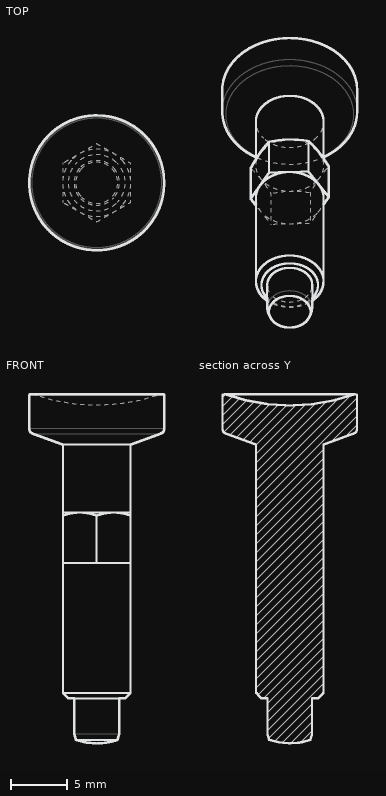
import cadquery as cq
import math

total_height = 31.0
pin_length = 4.0
body_chamfer_height = 0.5
hex_bottom = 16.0
hex_top = 20.5
knob_bottom = 26.5

knob_diameter = 12.0
shaft_diameter = 6.0
pin_diameter = 4.0

tip_dome_height = 0.3
tip_taper_height = 0.53
tip_taper_inset = 0.15

knob_cone_angle = 20.0
knob_lower_fillet = 0.5
knob_rim_fillet = 0.12
knob_rim_land = 0.12
dish_depth = 1.0

hex_sides = 6
hex_bevel_angle = 30.0

knob_radius = knob_diameter / 2
shaft_radius = shaft_diameter / 2
pin_radius = pin_diameter / 2


def rise(run, angle):
    """Height gained over a horizontal run at an angle in degrees."""
    return run * math.tan(math.radians(angle))


def make_shaft():
    """Cylindrical body and neck with a chamfered lower end."""
    shaft = (
        cq.Workplane("XY")
        .workplane(offset=pin_length)
        .circle(shaft_radius)
        .extrude(knob_bottom - pin_length)
    )
    return shaft.faces("<Z").chamfer(body_chamfer_height)


def make_pin():
    """Locking pin revolved from its half profile."""
    tip_radius = pin_radius - tip_taper_inset
    dome_radius = (tip_radius**2 + tip_dome_height**2) / (2 * tip_dome_height)
    mid_radius = tip_radius / 2
    mid_height = dome_radius - math.sqrt(dome_radius**2 - mid_radius**2)
    return (
        cq.Workplane("XZ")
        .moveTo(0, 0)
        .threePointArc((mid_radius, mid_height), (tip_radius, tip_dome_height))
        .lineTo(pin_radius, tip_dome_height + tip_taper_height)
        .lineTo(pin_radius, pin_length)
        .lineTo(0, pin_length)
        .close()
        .revolve(360, (0, 0, 0), (0, 1, 0))
    )


def make_hexagon():
    """Hexagon with flats facing X and bevelled upper corners."""
    corner_radius = shaft_radius / math.cos(math.pi / hex_sides)
    height = hex_top - hex_bottom
    prism = (
        cq.Workplane("XY")
        .workplane(offset=hex_bottom)
        .transformed(rotate=(0, 0, 180 / hex_sides))
        .polygon(hex_sides, 2 * corner_radius)
        .extrude(height)
    )
    bevel_drop = rise(corner_radius - shaft_radius, hex_bevel_angle)
    envelope = (
        cq.Workplane("XZ")
        .moveTo(0, hex_bottom)
        .lineTo(corner_radius, hex_bottom)
        .lineTo(corner_radius, hex_top - bevel_drop)
        .lineTo(shaft_radius, hex_top)
        .lineTo(0, hex_top)
        .close()
        .revolve(360, (0, 0, 0), (0, 1, 0))
    )
    return prism.intersect(envelope)


def make_knob():
    """Pull knob with a conical underside and a spherical dish on top."""
    cone_top = knob_bottom + rise(knob_radius - shaft_radius, knob_cone_angle)
    knob = (
        cq.Workplane("XZ")
        .moveTo(0, knob_bottom)
        .lineTo(shaft_radius, knob_bottom)
        .lineTo(knob_radius, cone_top)
        .lineTo(knob_radius, total_height)
        .lineTo(0, total_height)
        .close()
        .revolve(360, (0, 0, 0), (0, 1, 0))
    )
    widest_edges = knob.edges(cq.selectors.RadiusNthSelector(-1))
    knob = widest_edges.edges("<Z").fillet(knob_lower_fillet)
    knob = knob.faces(">Z").edges().fillet(knob_rim_fillet)

    dish_radius = knob_radius - knob_rim_fillet - knob_rim_land
    sphere_radius = (dish_radius**2 + dish_depth**2) / (2 * dish_depth)
    dish_bottom = total_height - dish_depth
    dish = cq.Workplane("XY").sphere(sphere_radius).translate((0, 0, dish_bottom + sphere_radius))
    return knob.cut(dish)


result = make_shaft().union(make_pin()).union(make_hexagon()).union(make_knob())